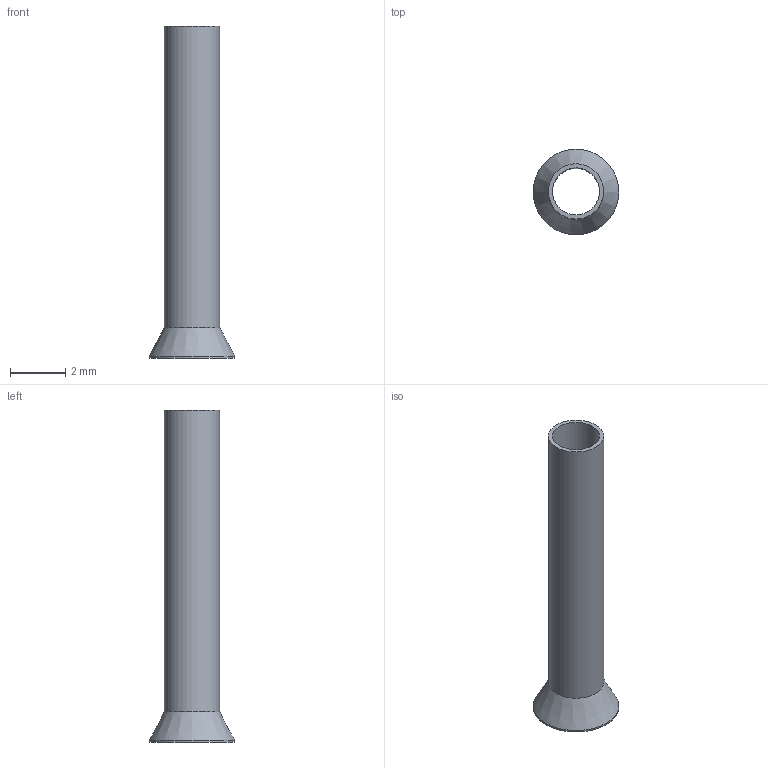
import cadquery as cq

total_length = 12.0
tube_radius = 1.0
bore_radius = 0.85

foot_radius = 1.55
foot_height = 1.1
rim_height = 0.06


def ferrule():
    """Revolve the wall section about the Z axis, leaving the bore open at both ends."""
    return (
        cq.Workplane("XZ")
        .moveTo(bore_radius, 0)
        .lineTo(foot_radius, 0)
        .lineTo(foot_radius, rim_height)
        .lineTo(tube_radius, foot_height)
        .lineTo(tube_radius, total_length)
        .lineTo(bore_radius, total_length)
        .close()
        .revolve(360, (0, 0, 0), (0, 1, 0))
    )


result = ferrule()